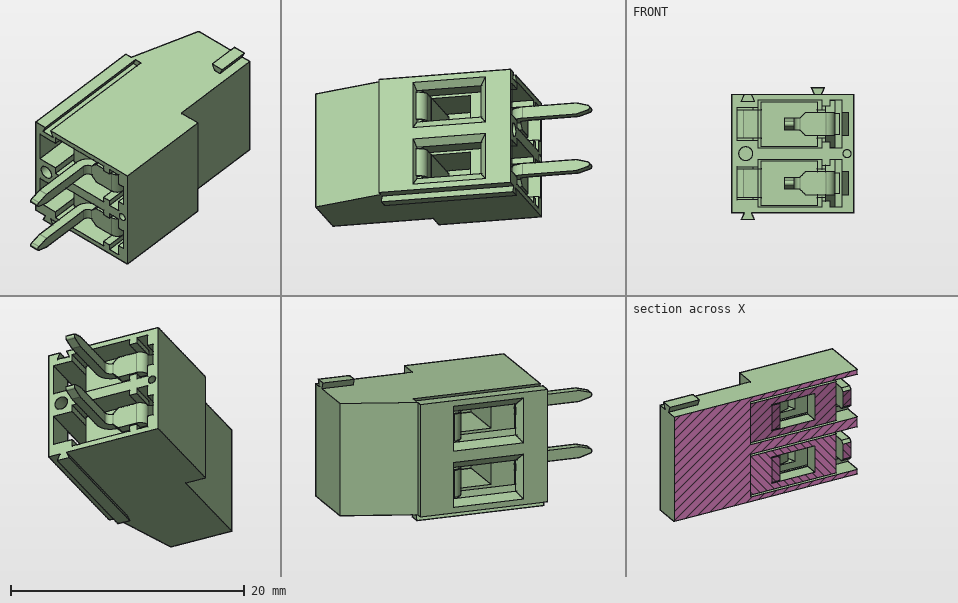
import cadquery as cq


POLE_COUNT = 2
PITCH = 5.07
POLE_HEIGHTS = [(i - (POLE_COUNT - 1) / 2) * PITCH for i in range(POLE_COUNT)]

OVERALL_DEPTH = 23.8
HOUSING_LENGTH = 10.5
HOUSING_HEIGHT = POLE_COUNT * PITCH
HOUSING_DEPTH = 18.0
WIRE_FACE_DEPTH = 11.66
SLOPE_START_X = 0.62
SLOPE_END_X = 2.74
BACK_STEP_X = 8.6
BACK_STEP_Y = 9.12

DOVETAIL_HEIGHT = 0.6
DOVETAIL_NARROW = 0.62
DOVETAIL_WIDE = 1.15
GUIDE_X = 1.4
LATCH_X = 7.4
LATCH_LENGTH = 2.88

LOCATING_HOLES = [(1.21, 1.2), (9.9, 0.7)]
LOCATING_HOLE_DEPTH = 1.9

STRIP_THICKNESS = 0.8
STRIP_WIDTH = 2.43
STRIP_START_X = 0.24
NOSE_RADIUS = STRIP_THICKNESS
NOSE_END_X = 2.25
NOSE_BOTTOM_Y = 7.62
STRIP_BOTTOM_Y = 7.6
STRIP_TOP_Y = NOSE_BOTTOM_Y + STRIP_THICKNESS
UPRIGHT_BACK_X = 8.85
UPRIGHT_FRONT_X = UPRIGHT_BACK_X - STRIP_THICKNESS
UPRIGHT_WIDTH = 4.05
FOOT_Y = 0.62
FOOT_WIDTH = 2.0
FOOT_BEND_RADIUS = 0.75
SHOULDER_START_Y = FOOT_Y + STRIP_THICKNESS
SHOULDER_RISE = 1.8
SHOULDER_END_Y = SHOULDER_START_Y + SHOULDER_RISE

BARB_WIDTH = 1.78
BARB_WINDOW_BOTTOM_Y = 5.05
BARB_WINDOW_BEVEL = 0.29
BARB_WINDOW_TOP_Y = 6.74
BARB_TIP_Y = 5.5
BARB_REACH = 0.38

PIN_X = 4.55
PIN_WIDTH = 1.0
PIN_LENGTH = OVERALL_DEPTH - HOUSING_DEPTH
PIN_BEND_RADIUS = 0.5
PIN_TAPER_LENGTH = 1.0
PIN_TIP_WIDTH = 0.43
PIN_TIP_LENGTH = 0.17
PIN_BEND_END_Y = FOOT_Y - PIN_BEND_RADIUS
FOOT_TAPER_START_X = PIN_X + STRIP_THICKNESS + PIN_BEND_RADIUS
FOOT_TAPER_END_X = FOOT_TAPER_START_X + (FOOT_WIDTH - PIN_WIDTH) / 2

CAGE_START_X = 2.55
CAGE_LENGTH = 4.8
CAGE_WIDTH = 3.8
CAGE_BOTTOM_Y = 2.07
CAGE_OPENING_Y = 4.21
CAGE_OPENING_WIDTH = 2.5
CAGE_TOP_Y = 10.47

CAVITY_START_X = 2.25
CAVITY_END_X = 7.75
CAVITY_WIDTH = 4.1
WIRE_SLOT_START_X = 0.48
WIRE_SLOT_WIDTH = 2.8
WIRE_SLOT_LEDGE_Y = 7.95
WIRE_SLOT_LEDGE_X = 1.85
NECK_WIDTH = 3.07
LIP_END_X = 8.45
NECK_FRACTION = (NECK_WIDTH - FOOT_WIDTH) / (UPRIGHT_WIDTH - FOOT_WIDTH)
LIP_DEPTH = SHOULDER_START_Y + SHOULDER_RISE * NECK_FRACTION
REAR_END_X = 9.47
BARB_RAMP_END_X = 10.02
BARB_RAMP_WIDTH = FOOT_WIDTH
BARB_RAMP_DEPTH = STRIP_TOP_Y

WINDOW_BOTTOM_Y = 2.21
WINDOW_TOP_Y = 8.62
WINDOW_WIDTH = 4.05
WINDOW_INNER_BOTTOM_Y = 2.74


def block(x_range, y_range, width, z=0.0):
    """Box between two x and two y values, centred on height z."""
    length = x_range[1] - x_range[0]
    depth = y_range[1] - y_range[0]
    corner = (x_range[0], y_range[0], z - width / 2)
    return cq.Workplane(cq.Solid.makeBox(length, depth, width, cq.Vector(*corner)))


def dovetail(x, base_z, tip_z, base_width, tip_width, y_range):
    """Trapezoidal bar along Y between two heights."""
    return (
        cq.Workplane("XZ", origin=(0, y_range[1], 0))
        .moveTo(x - base_width / 2, base_z)
        .lineTo(x + base_width / 2, base_z)
        .lineTo(x + tip_width / 2, tip_z)
        .lineTo(x - tip_width / 2, tip_z)
        .close()
        .extrude(y_range[1] - y_range[0])
    )


def housing_shell():
    """Outer block with its sloped wire side, stepped back and dovetails."""
    outline = [
        (0, 0),
        (HOUSING_LENGTH, 0),
        (HOUSING_LENGTH, BACK_STEP_Y),
        (BACK_STEP_X, BACK_STEP_Y),
        (BACK_STEP_X, HOUSING_DEPTH),
        (SLOPE_END_X, HOUSING_DEPTH),
        (SLOPE_START_X, WIRE_FACE_DEPTH),
        (0, WIRE_FACE_DEPTH),
    ]
    top = HOUSING_HEIGHT / 2
    guide_y = (0, WIRE_FACE_DEPTH)
    latch_y = (HOUSING_DEPTH - LATCH_LENGTH, HOUSING_DEPTH)
    narrow, wide = DOVETAIL_NARROW, DOVETAIL_WIDE

    shell = cq.Workplane("XY", origin=(0, 0, -top)).polyline(outline).close().extrude(HOUSING_HEIGHT)
    shell = shell.union(dovetail(GUIDE_X, -top, -top - DOVETAIL_HEIGHT, narrow, wide, guide_y))
    shell = shell.union(dovetail(LATCH_X, top, top + DOVETAIL_HEIGHT, narrow, wide, latch_y))
    return shell.cut(dovetail(GUIDE_X, top, top - DOVETAIL_HEIGHT, narrow, wide, guide_y))


def wire_window(z):
    """Flared wire entry in the -X face."""
    outer = cq.Workplane("YZ").center((WINDOW_BOTTOM_Y + WINDOW_TOP_Y) / 2, z)
    outer = outer.rect(WINDOW_TOP_Y - WINDOW_BOTTOM_Y, WINDOW_WIDTH)
    inner_shift = (WINDOW_INNER_BOTTOM_Y + STRIP_TOP_Y - WINDOW_BOTTOM_Y - WINDOW_TOP_Y) / 2
    return (
        outer.workplane(offset=WIRE_SLOT_START_X)
        .center(inner_shift, 0)
        .rect(STRIP_TOP_Y - WINDOW_INNER_BOTTOM_Y, WIRE_SLOT_WIDTH)
        .loft(ruled=True)
    )


def barb_ramp(z):
    """Lead-in behind the terminal that narrows to nothing towards the cavity roof."""
    return (
        cq.Workplane("XY", origin=(0, 0, z - BARB_RAMP_WIDTH / 2))
        .moveTo(REAR_END_X, 0)
        .lineTo(BARB_RAMP_END_X, 0)
        .lineTo(REAR_END_X, BARB_RAMP_DEPTH)
        .close()
        .extrude(BARB_RAMP_WIDTH)
    )


def pole_cavity(z):
    """Everything removed from the housing for one terminal and its cage."""
    cavity = block((CAVITY_START_X, CAVITY_END_X), (0, CAGE_TOP_Y), CAVITY_WIDTH, z)
    slot_x = (WIRE_SLOT_START_X, CAVITY_START_X)
    cavity = cavity.union(block(slot_x, (0, WIRE_SLOT_LEDGE_Y), WIRE_SLOT_WIDTH, z))
    deep_x = (WIRE_SLOT_LEDGE_X, CAVITY_START_X)
    cavity = cavity.union(block(deep_x, (0, STRIP_TOP_Y), WIRE_SLOT_WIDTH, z))
    strip_x = (STRIP_START_X, CAVITY_START_X)
    cavity = cavity.union(block(strip_x, (NOSE_BOTTOM_Y, STRIP_TOP_Y), STRIP_WIDTH, z))
    neck_x = (CAVITY_END_X, LIP_END_X)
    cavity = cavity.union(block(neck_x, (0, STRIP_TOP_Y), NECK_WIDTH, z))
    lip_y = (LIP_DEPTH, STRIP_TOP_Y)
    cavity = cavity.union(block((UPRIGHT_FRONT_X, LIP_END_X), lip_y, CAVITY_WIDTH, z))
    rear_x = (LIP_END_X, REAR_END_X)
    cavity = cavity.union(block(rear_x, (0, STRIP_TOP_Y), CAVITY_WIDTH, z))
    return cavity.union(barb_ramp(z)).union(wire_window(z))


def make_housing():
    housing = housing_shell()
    for x, diameter in LOCATING_HOLES:
        hole = cq.Workplane("XZ").center(x, 0).circle(diameter / 2).extrude(-LOCATING_HOLE_DEPTH)
        housing = housing.cut(hole)
    for z in POLE_HEIGHTS:
        housing = housing.cut(pole_cavity(z))
    return housing


def bent_strip():
    """Side profile of the terminal at full width: tongue, upright, foot and pin bend."""
    foot_top_y = FOOT_Y + STRIP_THICKNESS
    outer_radius = PIN_BEND_RADIUS + STRIP_THICKNESS
    return (
        cq.Workplane("XY", origin=(0, 0, -UPRIGHT_WIDTH / 2))
        .moveTo(PIN_X, PIN_BEND_END_Y)
        .lineTo(PIN_X + STRIP_THICKNESS, PIN_BEND_END_Y)
        .radiusArc((FOOT_TAPER_START_X, FOOT_Y), PIN_BEND_RADIUS)
        .lineTo(UPRIGHT_BACK_X - FOOT_BEND_RADIUS, FOOT_Y)
        .radiusArc((UPRIGHT_BACK_X, FOOT_Y + FOOT_BEND_RADIUS), -FOOT_BEND_RADIUS)
        .lineTo(UPRIGHT_BACK_X, STRIP_TOP_Y)
        .lineTo(STRIP_START_X, STRIP_TOP_Y)
        .radiusArc((STRIP_START_X + NOSE_RADIUS, NOSE_BOTTOM_Y), -NOSE_RADIUS)
        .lineTo(NOSE_END_X, NOSE_BOTTOM_Y)
        .lineTo(NOSE_END_X, STRIP_BOTTOM_Y)
        .lineTo(UPRIGHT_FRONT_X, STRIP_BOTTOM_Y)
        .lineTo(UPRIGHT_FRONT_X, foot_top_y)
        .lineTo(PIN_X + outer_radius, foot_top_y)
        .radiusArc((PIN_X, PIN_BEND_END_Y), -outer_radius)
        .close()
        .extrude(UPRIGHT_WIDTH)
    )


def strip_outline():
    """Width limits of the strip: tapered foot, upright with sloped shoulders, straight tongue."""
    foot = (
        cq.Workplane("XZ", origin=(0, SHOULDER_START_Y, 0))
        .polyline(
            [
                (PIN_X, -PIN_WIDTH / 2),
                (FOOT_TAPER_START_X, -PIN_WIDTH / 2),
                (FOOT_TAPER_END_X, -FOOT_WIDTH / 2),
                (UPRIGHT_BACK_X, -FOOT_WIDTH / 2),
                (UPRIGHT_BACK_X, FOOT_WIDTH / 2),
                (FOOT_TAPER_END_X, FOOT_WIDTH / 2),
                (FOOT_TAPER_START_X, PIN_WIDTH / 2),
                (PIN_X, PIN_WIDTH / 2),
            ]
        )
        .close()
        .extrude(SHOULDER_START_Y - PIN_BEND_END_Y)
    )
    upright = (
        cq.Workplane("YZ", origin=(UPRIGHT_FRONT_X, 0, 0))
        .polyline(
            [
                (SHOULDER_START_Y, -FOOT_WIDTH / 2),
                (SHOULDER_END_Y, -UPRIGHT_WIDTH / 2),
                (STRIP_TOP_Y, -UPRIGHT_WIDTH / 2),
                (STRIP_TOP_Y, UPRIGHT_WIDTH / 2),
                (SHOULDER_END_Y, UPRIGHT_WIDTH / 2),
                (SHOULDER_START_Y, FOOT_WIDTH / 2),
            ]
        )
        .close()
        .extrude(STRIP_THICKNESS)
    )
    tongue = block((STRIP_START_X, UPRIGHT_FRONT_X), (STRIP_BOTTOM_Y, STRIP_TOP_Y), STRIP_WIDTH)
    return foot.union(upright).union(tongue)


def solder_pin():
    """Straight pin with tapered flanks and a rounded tip."""
    tip_start_y = PIN_TIP_LENGTH - PIN_LENGTH
    taper_start_y = tip_start_y + PIN_TAPER_LENGTH
    return (
        cq.Workplane("YZ", origin=(PIN_X, 0, 0))
        .moveTo(PIN_BEND_END_Y, PIN_WIDTH / 2)
        .lineTo(taper_start_y, PIN_WIDTH / 2)
        .lineTo(tip_start_y, PIN_TIP_WIDTH / 2)
        .threePointArc((-PIN_LENGTH, 0), (tip_start_y, -PIN_TIP_WIDTH / 2))
        .lineTo(taper_start_y, -PIN_WIDTH / 2)
        .lineTo(PIN_BEND_END_Y, -PIN_WIDTH / 2)
        .close()
        .extrude(STRIP_THICKNESS)
    )


def barb_window():
    """Opening left by the barb, with a slanted lower edge."""
    return (
        cq.Workplane("XY", origin=(0, 0, -BARB_WIDTH / 2))
        .moveTo(UPRIGHT_FRONT_X, BARB_WINDOW_BOTTOM_Y)
        .lineTo(UPRIGHT_BACK_X, BARB_WINDOW_BOTTOM_Y + BARB_WINDOW_BEVEL)
        .lineTo(UPRIGHT_BACK_X, BARB_WINDOW_TOP_Y)
        .lineTo(UPRIGHT_FRONT_X, BARB_WINDOW_TOP_Y)
        .close()
        .extrude(BARB_WIDTH)
    )


def barb():
    """Tab bent backwards out of the upright, hinged at the top of its window."""
    return (
        cq.Workplane("XY", origin=(0, 0, -BARB_WIDTH / 2))
        .moveTo(UPRIGHT_FRONT_X, BARB_WINDOW_TOP_Y)
        .lineTo(UPRIGHT_FRONT_X + BARB_REACH, BARB_TIP_Y)
        .lineTo(UPRIGHT_BACK_X + BARB_REACH, BARB_TIP_Y)
        .lineTo(UPRIGHT_BACK_X, BARB_WINDOW_TOP_Y)
        .close()
        .extrude(BARB_WIDTH)
    )


def make_terminal(z):
    terminal = bent_strip().intersect(strip_outline())
    terminal = terminal.union(solder_pin())
    return terminal.cut(barb_window()).union(barb()).translate((0, 0, z))


def make_cage(z):
    cage_x = (CAGE_START_X, CAGE_START_X + CAGE_LENGTH)
    cage = block(cage_x, (CAGE_BOTTOM_Y, CAGE_TOP_Y), CAGE_WIDTH, z)
    opening = block(cage_x, (CAGE_OPENING_Y, STRIP_TOP_Y), CAGE_OPENING_WIDTH, z)
    return cage.cut(opening)


housing = make_housing()
terminals = [make_terminal(z) for z in POLE_HEIGHTS]
cages = [make_cage(z) for z in POLE_HEIGHTS]

bodies = [housing, *terminals, *cages]
result = cq.Compound.makeCompound([body.val() for body in bodies])